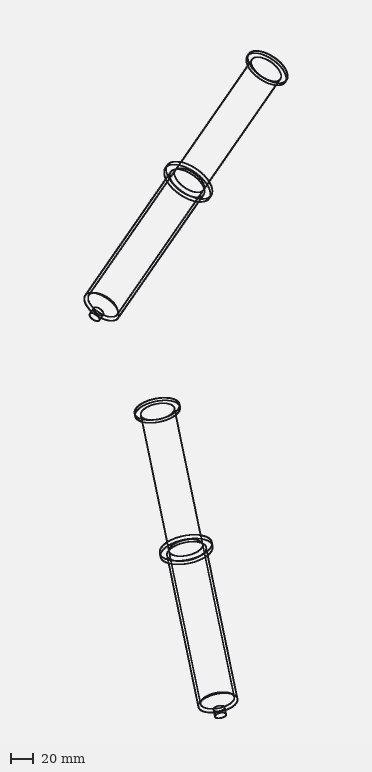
import cadquery as cq

total_length = 306.0

nozzle_diameter = 10.0
nozzle_length = 7.0
cone_length = 5.5
barrel_diameter = 35.0
barrel_flange_diameter = 46.5
barrel_flange_thickness = 3.7

rod_diameter = 30.0
exposed_rod_length = 136.0
thumb_plate_diameter = 40.0
thumb_plate_thickness = 2.8

tip_y = -total_length / 2
cone_y = tip_y + nozzle_length
shoulder_y = cone_y + cone_length
end_y = total_length / 2
plate_y = end_y - thumb_plate_thickness
mouth_y = plate_y - exposed_rod_length
barrel_flange_y = mouth_y - barrel_flange_thickness

wall_thickness = (barrel_diameter - rod_diameter) / 2
bore_end_y = shoulder_y + wall_thickness


def cylinder(diameter, start_y, stop_y):
    """Solid cylinder about the Y axis between two stations."""
    start_plane = cq.Plane(origin=(0, start_y, 0), xDir=(1, 0, 0), normal=(0, 1, 0))
    return cq.Workplane(start_plane).circle(diameter / 2).extrude(stop_y - start_y)


def make_barrel():
    """Flanged barrel with a conical nose, a nozzle and a blind bore for the rod."""
    outline = [
        (0, tip_y),
        (nozzle_diameter / 2, tip_y),
        (nozzle_diameter / 2, cone_y),
        (barrel_diameter / 2, shoulder_y),
        (barrel_diameter / 2, barrel_flange_y),
        (barrel_flange_diameter / 2, barrel_flange_y),
        (barrel_flange_diameter / 2, mouth_y),
        (0, mouth_y),
    ]
    body = cq.Workplane("XY").polyline(outline).close().revolve(360, (0, 0), (0, 1))
    bore = cylinder(rod_diameter, bore_end_y, mouth_y)
    return body.cut(bore)


def make_plunger():
    """Rod that fills the bore, with a thumb plate at its outer end."""
    rod = cylinder(rod_diameter, bore_end_y, plate_y)
    thumb_plate = cylinder(thumb_plate_diameter, plate_y, end_y)
    return rod.union(thumb_plate)


barrel = make_barrel()
plunger = make_plunger()

result = cq.Compound.makeCompound([barrel.val(), plunger.val()])